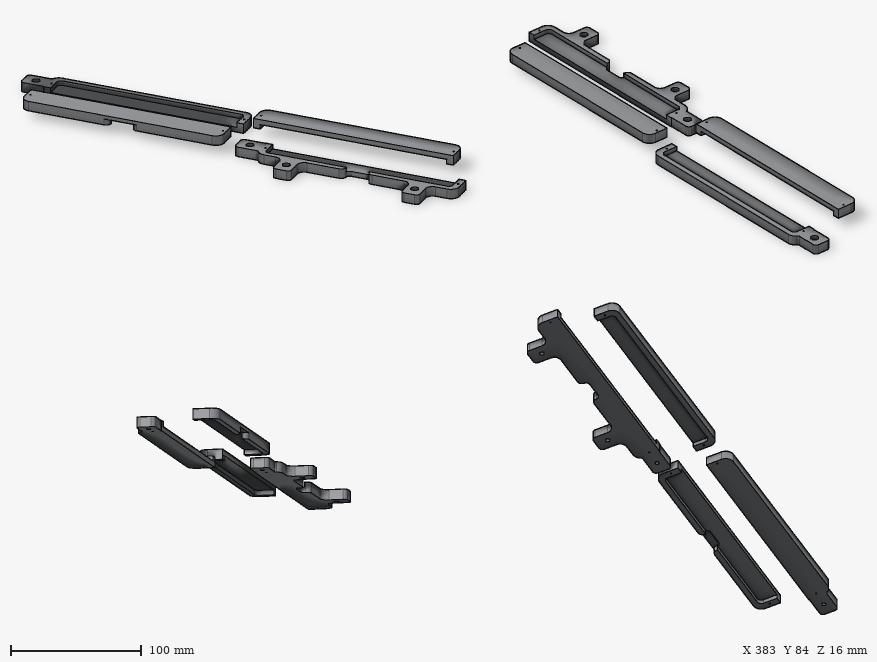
import cadquery as cq

total_length = 383.0
total_width = 84.0
plate_height = 8.0
column_gap = 9.5
base_length = (total_length - column_gap) / 2
tray_length = 167.0
tab_length = base_length - tray_length
base_width = 20.0
row_offset = 3.5
rear_cover_width = 18.8

outer_radius = 7.0
corner_radius = 3.0
step_radius = 2.0

wall = 5.7
side_wall = 4.5
recess_depth = 4.0
recess_radius = 3.5

tab_inset = 0.5
tab_width = base_width - side_wall - tab_inset

tab_screw_diameter = 3.0
leg_screw_diameter = 3.5
screw_head_diameter = 6.0
screw_head_depth = 4.0
screw_inset = 10.0
dowel_diameter = 1.0
dowel_setback = tab_inset + tab_width / 2
dowel_depth = 7.5
dowel_inset = 3.0

leg_length = 19.5
leg_width = 15.0
leg_spacing = 107.3
leg_root_radius = 5.7

notch_width = 19.5
notch_mouth_radius = 4.0
notch_root_radius = 3.0
notch_depth = notch_mouth_radius + notch_root_radius
cover_notch_height = 5.0
notch_center = tab_length + tray_length / 2

right_column_x = total_length - base_length
front_row_y = leg_length
rear_base_y = total_width - base_width
rear_cover_y = rear_base_y - row_offset


def tray_outline(width):
    """Rectangle from the origin with its two corners on the -Y side rounded."""
    return (
        cq.Workplane("XY").rect(tray_length, width, centered=False).extrude(plate_height)
        .edges("|Z and <Y").fillet(outer_radius)
    )


def recess(width):
    """Cutter for a recess that is open on the +Y side, starting at height zero."""
    return (
        cq.Workplane("XY").box(tray_length - 2 * wall, width - side_wall, recess_depth, centered=False)
        .edges("|Z and <Y").fillet(recess_radius)
        .translate((wall, side_wall, 0))
    )


def notch(height):
    """Cutter for the notch centred on X = 0, with a flared mouth on Y = 0."""
    half = notch_width / 2
    mouth = half + notch_mouth_radius
    outline = (
        cq.Workplane("XY").moveTo(-mouth, 0)
        .radiusArc((-half, notch_mouth_radius), -notch_mouth_radius)
        .radiusArc((-half + notch_root_radius, notch_depth), notch_root_radius)
        .lineTo(half - notch_root_radius, notch_depth)
        .radiusArc((half, notch_mouth_radius), notch_root_radius)
        .radiusArc((mouth, 0), -notch_mouth_radius)
        .close()
    )
    return outline.extrude(height)


def screw_hole(x, y, diameter):
    """Cutter for a through hole with a counterbore in the top face."""
    shank = cq.Workplane("XY").circle(diameter / 2).extrude(plate_height)
    head = (
        cq.Workplane("XY").workplane(offset=plate_height - screw_head_depth)
        .circle(screw_head_diameter / 2).extrude(screw_head_depth)
    )
    return shank.union(head).translate((x, y, 0))


def dowel_holes(open_y):
    """Cutters for the dowel holes in the end walls of a tray or cover, starting at height zero."""
    y = open_y - dowel_setback
    return (
        cq.Workplane("XY").pushPoints([(dowel_inset, y), (tray_length - dowel_inset, y)])
        .circle(dowel_diameter / 2).extrude(dowel_depth)
    )


def base_plate():
    """Base with its tab on the -X side and its recess open on the +Y side."""
    tray = tray_outline(base_width).translate((tab_length, 0, 0))
    tab = (
        cq.Workplane("XY").box(tab_length + outer_radius, tab_width, plate_height, centered=False)
        .edges("|Z and <X").fillet(corner_radius).translate((0, side_wall, 0))
    )
    plate = tray.union(tab)
    step_edge = cq.selectors.NearestToPointSelector((tab_length, side_wall, plate_height / 2))
    plate = plate.edges("|Z").edges(step_edge).fillet(step_radius)
    plate = plate.cut(recess(base_width).translate((tab_length, 0, plate_height - recess_depth)))
    plate = plate.cut(screw_hole(screw_inset, side_wall + tab_width / 2, tab_screw_diameter))
    return plate.cut(dowel_holes(base_width).translate((tab_length, 0, plate_height - dowel_depth)))


def plain_cover(width):
    """Cover with its recess and dowel holes opening downward, and its recess open on the +Y side."""
    return tray_outline(width).cut(recess(width)).cut(dowel_holes(width))


def leg():
    """Leg that hangs below Y = 0, centred on X = 0, with flared roots."""
    half = leg_width / 2
    root = half + leg_root_radius
    overlap = side_wall / 2
    return (
        cq.Workplane("XY").moveTo(-root, 0)
        .radiusArc((-half, -leg_root_radius), leg_root_radius)
        .lineTo(-half, corner_radius - leg_length)
        .radiusArc((corner_radius - half, -leg_length), -corner_radius)
        .lineTo(half - corner_radius, -leg_length)
        .radiusArc((half, corner_radius - leg_length), -corner_radius)
        .lineTo(half, -leg_root_radius)
        .radiusArc((root, 0), leg_root_radius)
        .lineTo(root, overlap)
        .lineTo(-root, overlap)
        .close().extrude(plate_height)
    )


def make_rear_base():
    return base_plate().mirror("XZ").translate((0, total_width, 0))


def make_front_base():
    plate = base_plate()
    for side in (-1, 1):
        leg_x = notch_center + side * leg_spacing / 2
        plate = plate.union(leg().translate((leg_x, 0, 0)))
        plate = plate.cut(screw_hole(leg_x, screw_inset - leg_length, leg_screw_diameter))
    plate = plate.cut(notch(plate_height).translate((notch_center, 0, 0)))
    return plate.translate((right_column_x, front_row_y, 0))


def make_front_cover():
    cover = plain_cover(base_width)
    cover = cover.cut(notch(cover_notch_height).translate((tray_length / 2, 0, 0)))
    return cover.translate((tab_length, front_row_y, plate_height))


def make_rear_cover():
    cover = plain_cover(rear_cover_width).mirror("XZ")
    return cover.translate((right_column_x, rear_cover_y + rear_cover_width, plate_height))


rear_base = make_rear_base()
front_base = make_front_base()
front_cover = make_front_cover()
rear_cover = make_rear_cover()

result = cq.Compound.makeCompound(
    [rear_base.val(), front_base.val(), front_cover.val(), rear_cover.val()]
)